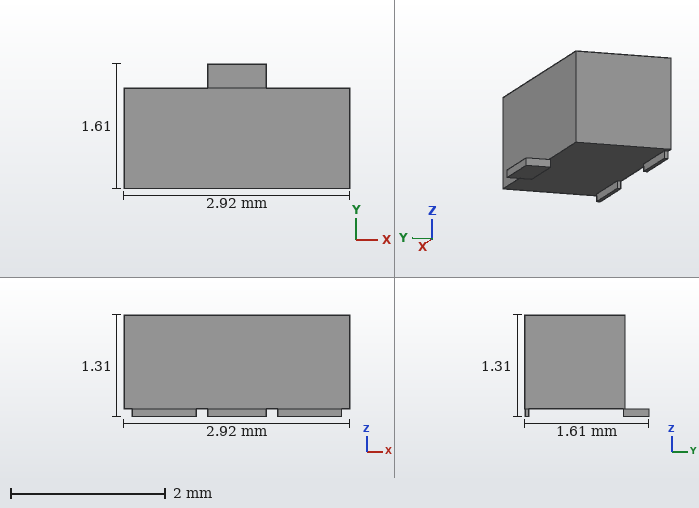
import cadquery as cq

body_length = 2.92
body_width = 1.30
body_height = 1.21

terminal_thickness = 0.10
front_terminal_length = 0.83
front_terminal_width = 0.05
front_terminal_inset = 0.005
front_terminal_spacing = 1.88
rear_terminal_length = 0.76
rear_terminal_overhang = 0.31
rear_terminal_overlap = 0.025

body_front = -body_width / 2
body_rear = body_width / 2


def block(length, width, height, x_center, y_front, z_bottom):
    """Rectangular block centred on x_center, growing from y_front and z_bottom."""
    return (
        cq.Workplane("XY")
        .box(length, width, height, centered=(True, False, False))
        .translate((x_center, y_front, z_bottom))
    )


def make_body():
    """Plain package body, resting on top of the terminals."""
    return block(body_length, body_width, body_height, 0, body_front, terminal_thickness)


def make_front_terminal(x_center):
    """Narrow terminal strip just inside the front edge of the body."""
    y_front = body_front + front_terminal_inset
    return block(front_terminal_length, front_terminal_width, terminal_thickness, x_center, y_front, 0)


def make_rear_terminal():
    """Terminal reaching out from under the rear edge of the body."""
    width = rear_terminal_overlap + rear_terminal_overhang
    y_front = body_rear - rear_terminal_overlap
    return block(rear_terminal_length, width, terminal_thickness, 0, y_front, 0)


body = make_body()
rear_terminal = make_rear_terminal()
front_terminals = [make_front_terminal(side * front_terminal_spacing / 2) for side in (-1, 1)]

result = cq.Compound.makeCompound(
    [
        body.val(),
        rear_terminal.val(),
        *[terminal.val() for terminal in front_terminals],
    ]
)